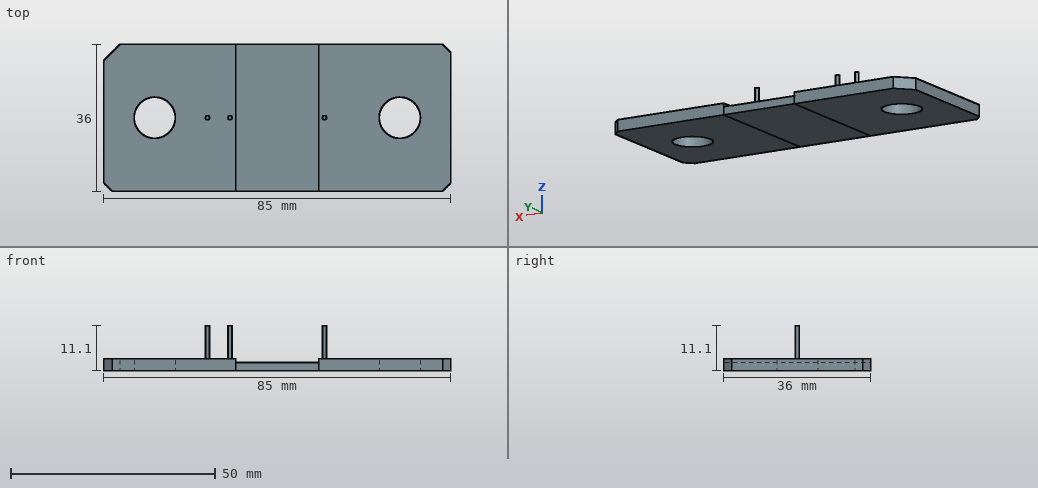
import cadquery as cq

LENGTH = 85.0
WIDTH = 36.0
HEIGHT = 11.05

TERMINAL_THICKNESS = 3.0
STRIP_THICKNESS = 2.0
STRIP_LENGTH = 20.2
TERMINAL_LENGTH = (LENGTH - STRIP_LENGTH) / 2
TERMINAL_CENTER_X = (STRIP_LENGTH + TERMINAL_LENGTH) / 2

CORNER_CHAMFER = 2.0
MARKED_CORNER_CHAMFER = 4.0
BOLT_HOLE_DIAMETER = 10.0
BOLT_HOLE_X = 30.0

PIN_DIAMETER = 1.0
PIN_HEIGHT = HEIGHT - TERMINAL_THICKNESS
SENSE_PIN_X = 11.6
EXTRA_PIN_SPACING = 5.5
PIN_POSITIONS_X = [-SENSE_PIN_X - EXTRA_PIN_SPACING, -SENSE_PIN_X, SENSE_PIN_X]


def make_terminal(side, back_chamfer):
    """Terminal plate on the -X (side = -1) or +X (side = 1) end, with chamfered outer corners."""
    outer_face = ">X" if side > 0 else "<X"
    plate = (
        cq.Workplane("XY")
        .center(side * TERMINAL_CENTER_X, 0)
        .rect(TERMINAL_LENGTH, WIDTH)
        .extrude(TERMINAL_THICKNESS)
    )
    plate = plate.faces(outer_face).edges("|Z and <Y").chamfer(CORNER_CHAMFER)
    plate = plate.faces(outer_face).edges("|Z and >Y").chamfer(back_chamfer)
    bolt_hole = (
        cq.Workplane("XY")
        .center(side * BOLT_HOLE_X, 0)
        .circle(BOLT_HOLE_DIAMETER / 2)
        .extrude(TERMINAL_THICKNESS)
    )
    return plate.cut(bolt_hole)


def make_resistor_strip():
    """Thinner strip joining the two terminals, flush with their undersides."""
    return cq.Workplane("XY").rect(STRIP_LENGTH, WIDTH).extrude(STRIP_THICKNESS)


def make_pin(x):
    """Round pin standing on the top of a terminal."""
    return (
        cq.Workplane("XY", origin=(x, 0, TERMINAL_THICKNESS))
        .circle(PIN_DIAMETER / 2)
        .extrude(PIN_HEIGHT)
    )


left_terminal = make_terminal(-1, MARKED_CORNER_CHAMFER)
right_terminal = make_terminal(1, CORNER_CHAMFER)
resistor_strip = make_resistor_strip()
pins = [make_pin(x) for x in PIN_POSITIONS_X]

result = cq.Compound.makeCompound(
    [left_terminal.val(), right_terminal.val(), resistor_strip.val(), *[pin.val() for pin in pins]]
)